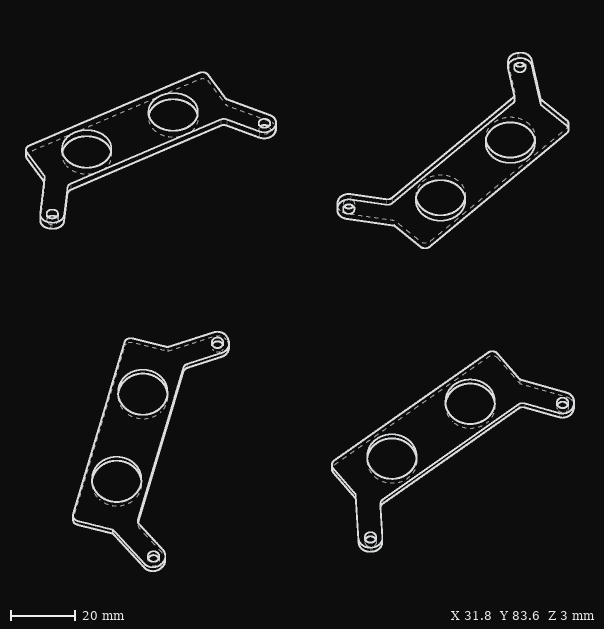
import cadquery as cq
import math

thickness = 3.0
overall_length = 83.6
overall_width = 31.75
body_width = 20.05
body_length = 65.0
corner_radius = 2.0
window_diameter = 15.5
window_spacing = 31.0
tip_radius = 3.5
tip_flat = 0.5
eye_hole_diameter = 3.6
eye_hole_x = 28.1
eye_hole_spacing = 76.0
arm_root_x = 13.45

arm_width = 2 * tip_radius + tip_flat
body_end_y = body_length / 2


def tip_centre_x(angle):
    """X of the outer tip rounding when the inner one touches the overall width."""
    return overall_width - tip_radius - tip_flat * math.sin(angle)


tip_centre_y = overall_length / 2 - tip_radius
settling_steps = 20
arm_angle = 0.0
for _ in range(settling_steps):
    reach_x = tip_centre_x(arm_angle) - arm_root_x
    reach_y = tip_centre_y - body_end_y
    bearing = math.atan2(reach_y, reach_x)
    arm_angle = bearing + math.asin(tip_radius / math.hypot(reach_x, reach_y))


def along_arm(start, forward, left):
    """The point reached from start by moving along the arm and to its left."""
    x = start[0] + forward * math.cos(arm_angle) - left * math.sin(arm_angle)
    y = start[1] + forward * math.sin(arm_angle) + left * math.cos(arm_angle)
    return (x, y)


tip_centre = (tip_centre_x(arm_angle), tip_centre_y)
outer_tip = along_arm(tip_centre, tip_radius, tip_radius)
inner_tip = along_arm(outer_tip, 0, -arm_width)
inner_root = (body_width, inner_tip[1] - (inner_tip[0] - body_width) * math.tan(arm_angle))


def make_half_plate():
    """The +Y half of the plate, with its arm and rounded corners."""
    body_corner = (0, body_end_y)
    outline = [
        (0, 0),
        body_corner,
        (arm_root_x, body_end_y),
        outer_tip,
        inner_tip,
        inner_root,
        (body_width, 0),
    ]
    half = cq.Workplane("XY").polyline(outline).close().extrude(thickness)
    roundings = [
        (body_corner, corner_radius),
        (inner_root, corner_radius),
        (outer_tip, tip_radius),
        (inner_tip, tip_radius),
    ]
    for (x, y), radius in roundings:
        nearest = cq.selectors.NearestToPointSelector((x, y, thickness / 2))
        half = half.edges("|Z").edges(nearest).fillet(radius)
    return half


def make_holes(diameter, x, spacing):
    """A pair of through holes, spaced evenly about the XZ plane."""
    return (
        cq.Workplane("XY")
        .pushPoints([(x, spacing / 2), (x, -spacing / 2)])
        .circle(diameter / 2)
        .extrude(thickness)
    )


half_plate = make_half_plate()
plate = half_plate.union(half_plate.mirror("XZ")).clean()
windows = make_holes(window_diameter, body_width / 2, window_spacing)
eye_holes = make_holes(eye_hole_diameter, eye_hole_x, eye_hole_spacing)
result = plate.cut(windows).cut(eye_holes)